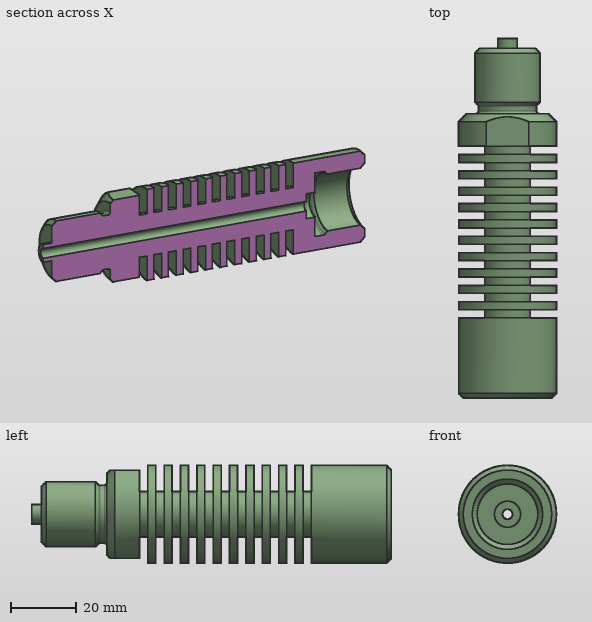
import cadquery as cq
import math

length = 110.0
body_radius = 30.0 / 2

pin_radius = 6.0 / 2
pin_length = 3.0
thread_radius = 20.0 / 2
thread_chamfer = 1.5
thread_reach = 20.0
undercut_radius = 17.8 / 2
undercut_width = 3.5
collar_fillet = 0.8
cone_fillet = 0.4

collar_length = 10.0
collar_chamfer = 2.5
across_flats = 27.0

neck_radius = 14.0 / 2
fin_count = 10
fin_thickness = 2.5
fin_gap = 2.5
fin_pitch = fin_thickness + fin_gap

sleeve_chamfer = 1.5
socket_radius = 18.5 / 2
socket_mouth_radius = 21.5 / 2
socket_depth = 17.0
relief_radius = 20.7 / 2
relief_width = 4.2
relief_fillet = 0.8
pin_seat_radius = 8.0 / 2
pin_seat_depth = 3.0
bore_radius = 3.0 / 2

thread_end = length - pin_length
collar_end = thread_end - thread_reach
collar_start = collar_end - collar_length
undercut_end = collar_end + undercut_width
sleeve_length = collar_start - fin_count * fin_pitch - fin_gap

cone_angle = math.radians(45)
cone_tangent = math.tan(cone_angle / 2)
cone_slope = math.sin(cone_angle)


def revolve_about_y(profile):
    """Solid of revolution about Y from a closed (radius, y) profile."""
    return profile.close().revolve(360, (0, 0, 0), (0, 1, 0))


def disc(radius, start, thickness):
    """Cylinder on the Y axis from start to start + thickness."""
    return cq.Workplane("XZ", origin=(0, start, 0)).circle(radius).extrude(-thickness)


def make_sleeve():
    """Thick cylinder around the socket, chamfered at the mouth."""
    return disc(body_radius, 0, sleeve_length).faces("<Y").chamfer(sleeve_chamfer)


def make_finned_neck():
    """Thin neck between sleeve and collar carrying evenly spaced disc fins."""
    neck = disc(neck_radius, sleeve_length, collar_start - sleeve_length)
    for index in range(fin_count):
        fin_start = sleeve_length + fin_gap + index * fin_pitch
        neck = neck.union(disc(body_radius, fin_start, fin_thickness))
    return neck


def make_collar():
    """Chamfered round collar with two parallel wrench flats at +Z and -Z."""
    collar = disc(body_radius, collar_start, collar_length).faces(">Y").chamfer(collar_chamfer)
    flats = cq.Workplane("XY").box(2 * body_radius, collar_length, across_flats)
    return collar.intersect(flats.translate((0, collar_start + collar_length / 2, 0)))


def make_plug():
    """Threaded plug with an undercut beside the collar and a guide pin at its tip."""
    undercut_cone = thread_radius - undercut_radius
    cone_foot = undercut_end - undercut_cone
    tangent = cone_fillet * cone_tangent
    profile = (
        cq.Workplane("XY")
        .moveTo(0, collar_end)
        .lineTo(undercut_radius + collar_fillet, collar_end)
        .radiusArc((undercut_radius, collar_end + collar_fillet), collar_fillet)
        .lineTo(undercut_radius, cone_foot - tangent)
        .radiusArc(
            (undercut_radius + tangent * cone_slope, cone_foot + tangent * cone_slope),
            cone_fillet,
        )
        .lineTo(thread_radius, undercut_end)
        .lineTo(thread_radius, thread_end - thread_chamfer)
        .lineTo(thread_radius - thread_chamfer, thread_end)
        .lineTo(0, thread_end)
    )
    return revolve_about_y(profile).union(disc(pin_radius, thread_end, pin_length))


def make_socket():
    """Threaded socket with a chamfered mouth, a thread relief at its floor and a seat for the pin."""
    relief_start = socket_depth - relief_width
    cone_foot = relief_start + relief_radius - socket_radius
    tangent = relief_fillet * cone_tangent
    profile = (
        cq.Workplane("XY")
        .lineTo(socket_mouth_radius, 0)
        .lineTo(socket_radius, socket_mouth_radius - socket_radius)
        .lineTo(socket_radius, relief_start)
        .lineTo(relief_radius - tangent * cone_slope, cone_foot - tangent * cone_slope)
        .radiusArc((relief_radius, cone_foot + tangent), -relief_fillet)
        .lineTo(relief_radius, socket_depth)
        .lineTo(0, socket_depth)
    )
    return revolve_about_y(profile).union(disc(pin_seat_radius, socket_depth, pin_seat_depth))


body = make_sleeve().union(make_finned_neck()).union(make_collar()).union(make_plug())
result = body.cut(make_socket()).cut(disc(bore_radius, 0, length))